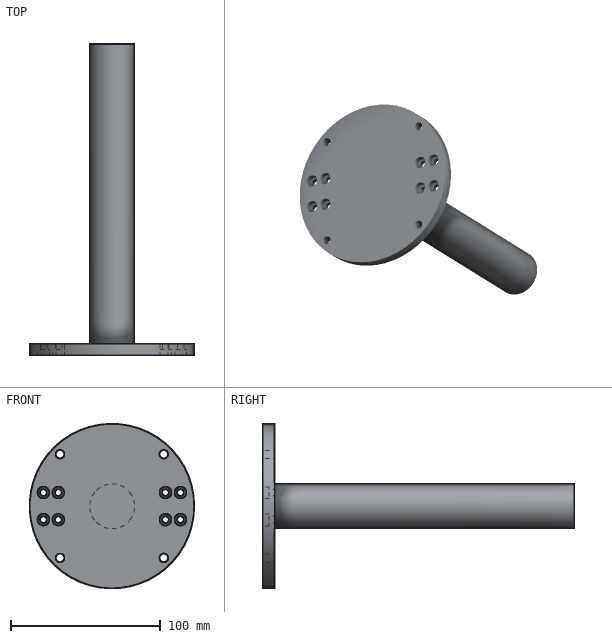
import cadquery as cq

total_length = 208.0
flange_diameter = 110.0
flange_thickness = 8.0
post_diameter = 30.0

corner_hole_diameter = 5.6
corner_hole_spacing = 69.3

bolt_hole_diameter = 4.4
counterbore_diameter = 8.0
counterbore_depth = 4.2
bolt_inner_x = 35.8
bolt_outer_x = 45.8
bolt_row_spacing = 18.0


def front_face(body):
    """Workplane on the flange front face, with local axes along X and Z."""
    return body.faces("<Y").workplane(origin=(0, 0, 0))


def make_body():
    """Round flange with a solid post rising from its back."""
    flange = cq.Workplane("XZ").circle(flange_diameter / 2).extrude(-flange_thickness)
    post = cq.Workplane("XZ").circle(post_diameter / 2).extrude(-total_length)
    return flange.union(post)


def cut_corner_holes(body):
    return (
        front_face(body)
        .rect(corner_hole_spacing, corner_hole_spacing, forConstruction=True)
        .vertices()
        .hole(corner_hole_diameter, flange_thickness)
    )


def cut_bolt_holes(body):
    for bolt_x in (bolt_inner_x, bolt_outer_x):
        body = (
            front_face(body)
            .rect(2 * bolt_x, bolt_row_spacing, forConstruction=True)
            .vertices()
            .cboreHole(bolt_hole_diameter, counterbore_diameter, counterbore_depth, flange_thickness)
        )
    return body


result = cut_bolt_holes(cut_corner_holes(make_body()))